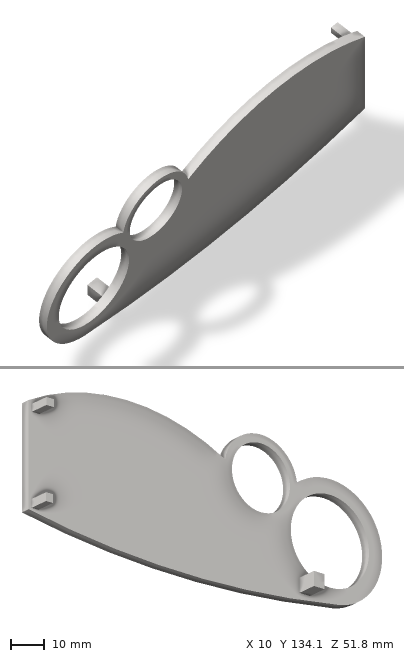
import cadquery as cq

total_depth = 10.0
plate_thickness = 3.2
peg_length = total_depth - plate_thickness
plate_back_x = total_depth / 2
plate_front_x = plate_back_x - plate_thickness

length = 134.1
large_radius = 19.9
large_hole_diameter = 29.6
large_center = (large_radius - length / 2, -1.5)

small_radius = 13.8
small_hole_diameter = 22.0
small_center = (-21.0, 12.1)

upper_corner = (length / 2, 14.4)
upper_crown = (30.2, 23.9)
upper_end = (-7.2, 14.6)
lower_corner = (length / 2, -20.5)
lower_crown = (8.0, -25.9)
lower_end = (-52.2, -20.7)

pegs = [
    (64.4, 12.2, 2.8, 2.5),
    (64.7, -18.4, 2.5, 2.8),
    (-37.7, -18.5, 4.0, 4.8),
]


def plate_plane():
    """YZ plane on the peg side of the plate, facing +X."""
    return cq.Workplane("YZ", origin=(plate_front_x, 0, 0))


def disc(center, diameter):
    return plate_plane().center(*center).circle(diameter / 2).extrude(plate_thickness)


def make_blade():
    """Plate with bowed upper and lower edges, running into both rings."""
    return (
        plate_plane()
        .moveTo(*upper_corner)
        .threePointArc(upper_crown, upper_end)
        .lineTo(*small_center)
        .lineTo(*large_center)
        .lineTo(*lower_end)
        .threePointArc(lower_crown, lower_corner)
        .close()
        .extrude(plate_thickness)
    )


def make_peg(y, z, width, height):
    return plate_plane().center(y, z).rect(width, height).extrude(-peg_length)


result = make_blade()
result = result.union(disc(large_center, 2 * large_radius))
result = result.union(disc(small_center, 2 * small_radius))
result = result.cut(disc(large_center, large_hole_diameter))
result = result.cut(disc(small_center, small_hole_diameter))
for peg in pegs:
    result = result.union(make_peg(*peg))